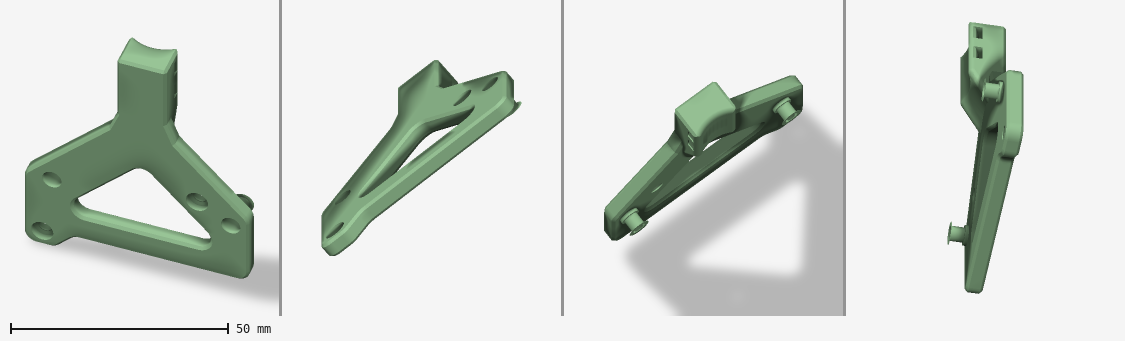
import cadquery as cq
import math


plate_thickness = 4.0
plate_left = -28.76
plate_right = 26.3
arm_bottom = -16.73
foot_bottom = -21.53
foot_ramp_start = -21.37
shoulder_apex = 29.0
flare_half_width = 8.1
corner_radius = 3.0
edge_chamfer = 0.65

window_radius = 3.0
window_half_span = 13.8
window_base = -6.66

neck_half_width = 6.02
neck_top = 43.16
neck_depth = 8.64
neck_flare_top = neck_top - 17.0
taper_top = neck_flare_top
taper_bottom = neck_top - 26.6
neck_overlap = 5.0
saddle_radius = 9.0
neck_round = 1.2
saddle_y = neck_depth - neck_round + math.sqrt(
    (saddle_radius + neck_round) ** 2 - (neck_half_width - neck_round) ** 2
)

slot_inner_radius = 11.0
slot_outer_radius = 12.4
slot_height = 4.0
slot_mouth_chamfer = 0.55
slot_tops = (neck_top - 2.05, neck_top - 9.1)

screw_centers = ((-24.25, -17.05), (13.65, 4.8))
screw_diameter = 3.4
sink_diameter = 5.4
sink_depth = 1.7
cone_depth = 0.5
cone_floor_diameter = 3.8

sleeve_x = 21.9
sleeve_wall = 0.05
sleeve_pocket_diameter = 4.7
sleeve_pocket_depth = 4.85
sleeve_bore = 3.4
sleeve_end = 8.15
sleeve_lip_diameter = 5.4
sleeve_root = plate_thickness / 2


def make_plate():
    """Flat plate with rounded corners and window, chamfered on both faces."""
    overlap_top = neck_flare_top + neck_overlap
    flare_bottom = shoulder_apex - flare_half_width
    ramp_end = foot_ramp_start + arm_bottom - foot_bottom
    outline = [
        (-neck_half_width, overlap_top),
        (neck_half_width, overlap_top),
        (neck_half_width, neck_flare_top),
        (flare_half_width, flare_bottom),
        (plate_right, shoulder_apex - plate_right),
        (plate_right, arm_bottom),
        (ramp_end, arm_bottom),
        (foot_ramp_start, foot_bottom),
        (plate_left, foot_bottom),
        (plate_left, shoulder_apex + plate_left),
        (-flare_half_width, flare_bottom),
        (-neck_half_width, neck_flare_top),
    ]
    plate = cq.Workplane("XZ").polyline(outline).close().extrude(-plate_thickness)
    below_flare = cq.selectors.BoxSelector(
        (2 * plate_left, -plate_thickness, 2 * foot_bottom),
        (2 * plate_right, 2 * plate_thickness, flare_bottom - corner_radius),
    )
    plate = plate.edges("|Y").edges(below_flare).fillet(corner_radius)
    return plate.cut(make_window()).faces("<Y or >Y").edges().chamfer(edge_chamfer)


def make_window():
    """Rounded triangular prism that is cut through the plate."""
    diagonal = window_radius * math.sqrt(0.5)
    apex = window_base + window_half_span
    side = window_half_span + diagonal
    tip = window_half_span + window_radius * math.cos(math.pi / 8)
    tip_drop = window_radius * math.sin(math.pi / 8)
    bottom = window_base - window_radius
    return (
        cq.Workplane("XZ")
        .moveTo(-window_half_span, bottom)
        .lineTo(window_half_span, bottom)
        .threePointArc((tip, window_base - tip_drop), (side, window_base + diagonal))
        .lineTo(diagonal, apex + diagonal)
        .threePointArc((0, apex + window_radius), (-diagonal, apex + diagonal))
        .lineTo(-side, window_base + diagonal)
        .threePointArc((-tip, window_base - tip_drop), (-window_half_span, bottom))
        .close()
        .extrude(-plate_thickness)
    )


def neck_section(z, setback):
    """Wire of the neck at height z, its saddle back moved forward by setback."""
    round_x = neck_half_width - neck_round
    round_y = neck_depth - neck_round - setback
    axis_y = saddle_y - setback
    reach = saddle_radius / (saddle_radius + neck_round)
    tangent_x = round_x * reach
    tangent_y = axis_y + (round_y - axis_y) * reach
    bulge = neck_round * math.sqrt(0.5)
    return (
        cq.Workplane("XY", origin=(0, 0, z))
        .moveTo(-neck_half_width, 0)
        .lineTo(neck_half_width, 0)
        .lineTo(neck_half_width, round_y)
        .threePointArc((round_x + bulge, round_y + bulge), (tangent_x, tangent_y))
        .threePointArc((0, axis_y - saddle_radius), (-tangent_x, tangent_y))
        .threePointArc((-round_x - bulge, round_y + bulge), (-neck_half_width, round_y))
        .close()
        .wires()
        .val()
    )


def make_neck_envelope():
    """Block with the chamfers of the neck's front and top edges; its back edges are left sharp."""
    height = neck_top - taper_bottom
    block = cq.Workplane("XY").box(2 * neck_half_width, 2 * neck_depth, height, centered=(True, False, False))
    block = block.translate((0, 0, taper_bottom))
    return block.edges("(<Y or >Z) and (not >Y) and (not <Z)").chamfer(edge_chamfer)


def make_saddle_rim_round():
    """Ring of material that a fillet removes from the top edge of the saddle."""
    outer_radius = saddle_radius + neck_round
    arc_x = outer_radius - neck_round * math.sqrt(0.5)
    arc_z = neck_top - neck_round + neck_round * math.sqrt(0.5)
    section = (
        cq.Workplane("XZ")
        .moveTo(saddle_radius, neck_top)
        .lineTo(outer_radius, neck_top)
        .threePointArc((arc_x, arc_z), (saddle_radius, neck_top - neck_round))
        .close()
    )
    return section.revolve(360, (0, 0), (0, 1)).translate((0, saddle_y, 0))


def make_neck():
    """Neck with a saddle along its back, tapering down into the plate."""
    setback = neck_depth - plate_thickness
    upper = cq.Solid.extrudeLinear(neck_section(taper_top, 0), [], cq.Vector(0, 0, neck_top - taper_top))
    lower = cq.Solid.makeLoft([neck_section(taper_bottom, setback), neck_section(taper_top, 0)], True)
    neck = cq.Workplane(upper).union(cq.Workplane(lower))
    return neck.intersect(make_neck_envelope()).cut(make_saddle_rim_round())


def make_tie_slot(top):
    """Curved slot whose inner wall is chamfered at both mouths."""
    mouth_y = saddle_y - math.sqrt(slot_inner_radius ** 2 - neck_half_width ** 2)
    wall_angle = math.asin(neck_half_width / slot_inner_radius)
    crease_angle = wall_angle - slot_mouth_chamfer / slot_inner_radius
    chamfer_wedge = [
        (neck_half_width, mouth_y + slot_mouth_chamfer),
        (neck_half_width, mouth_y - slot_mouth_chamfer),
        (slot_inner_radius * math.sin(crease_angle), saddle_y - slot_inner_radius * math.cos(crease_angle)),
    ]
    wedge = cq.Workplane("XY", origin=(0, 0, top)).polyline(chamfer_wedge).close().extrude(-slot_height)
    ring = (
        cq.Workplane("XY", origin=(0, saddle_y, top))
        .circle(slot_outer_radius)
        .circle(slot_inner_radius)
        .extrude(-slot_height)
    )
    return ring.union(wedge).union(wedge.mirror("YZ"))


def revolve_about_y(half_section, x, z):
    """Turn a (radius, Y) half section about the Y-parallel line through x, z."""
    turned = cq.Workplane("XY").polyline(half_section).close().revolve(360, (0, 0), (0, 1))
    return turned.translate((x, 0, z))


def make_screw_hole(x, z):
    """Stepped hole entered from the front face."""
    section = [
        (0, 0),
        (sink_diameter / 2, 0),
        (sink_diameter / 2, sink_depth),
        (cone_floor_diameter / 2, sink_depth + cone_depth),
        (screw_diameter / 2, sink_depth + cone_depth),
        (screw_diameter / 2, plate_thickness),
        (0, plate_thickness),
    ]
    return revolve_about_y(section, x, z)


def make_sleeve(x):
    """Thin wall that continues the pocket behind the plate, narrows to a tube and ends in a flat lip."""
    pocket_radius = sleeve_pocket_diameter / 2
    bore_radius = sleeve_bore / 2
    lip_radius = sleeve_lip_diameter / 2
    section = [
        (pocket_radius, sleeve_root),
        (pocket_radius, sleeve_pocket_depth - sleeve_wall),
        (bore_radius, sleeve_pocket_depth - sleeve_wall),
        (bore_radius, sleeve_end),
        (lip_radius, sleeve_end),
        (lip_radius, sleeve_end - sleeve_wall),
        (bore_radius + sleeve_wall, sleeve_end - sleeve_wall),
        (bore_radius + sleeve_wall, sleeve_pocket_depth),
        (pocket_radius + sleeve_wall, sleeve_pocket_depth),
        (pocket_radius + sleeve_wall, sleeve_root),
    ]
    return revolve_about_y(section, x, 0)


def make_sleeve_pocket(x):
    """Straight hole through the plate that leads into a sleeve."""
    radius = sleeve_pocket_diameter / 2
    section = [(0, 0), (radius, 0), (radius, plate_thickness), (0, plate_thickness)]
    return revolve_about_y(section, x, 0)


result = make_plate().union(make_neck())
for slot_top in slot_tops:
    result = result.cut(make_tie_slot(slot_top))
for screw_x, screw_z in screw_centers:
    result = result.cut(make_screw_hole(screw_x, screw_z))
for center_x in (-sleeve_x, sleeve_x):
    result = result.cut(make_sleeve_pocket(center_x)).union(make_sleeve(center_x))